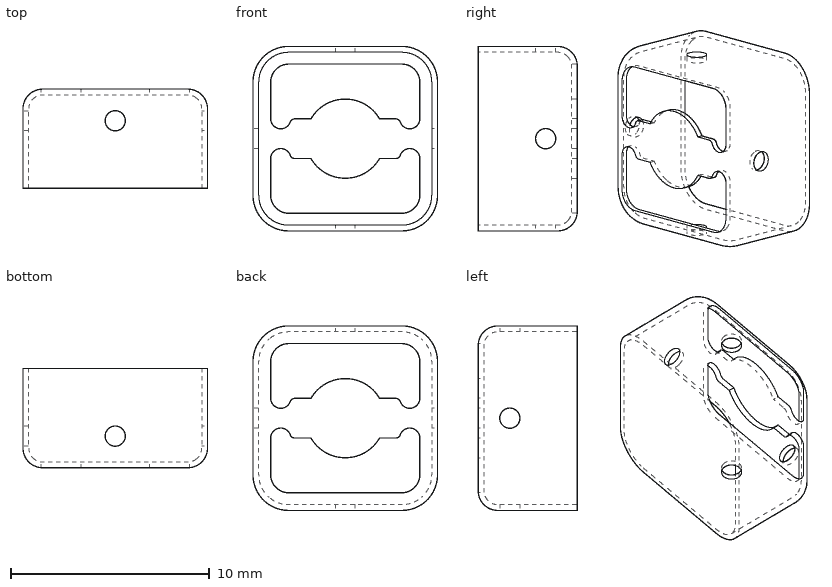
import cadquery as cq

side = 9.3
depth = 5.0
wall = 0.3
corner_radius = 1.8
end_radius = 1.0
window_inset = 0.9

side_hole_diameter = 1.0
side_hole_from_end = 1.6

disc_radius = 2.0
bridge_half_height = 1.0
notch_radius = 0.5
notch_from_center = 3.25
notch_corner_radius = 0.25


def rounded_block(inset, start_y, end_y):
    """Square block inset from the outer side, with rounded corners along Y."""
    width = side - 2 * inset
    block = cq.Workplane("XY").box(width, end_y - start_y, width)
    block = block.edges("|Y").fillet(corner_radius - inset)
    return block.translate((0, (start_y + end_y) / 2, 0))


def cylinder_along_y(radius, x, z):
    """Cylinder as deep as the rounded end, so it passes fully through the rim."""
    return cq.Workplane("XZ", origin=(x, depth - end_radius, z)).circle(radius).extrude(-end_radius)


def make_shell():
    """Hollow cap with concentric rounds around the closed end."""
    outer = rounded_block(0, 0, depth).faces(">Y").edges().fillet(end_radius)
    cavity = rounded_block(wall, 0, depth - wall).faces(">Y").edges().fillet(end_radius - wall)
    return outer.cut(cavity)


def make_bridge():
    """Central disc on a bar, with two rounded notches near each end of the bar."""
    bar_length = side - 2 * window_inset
    bridge = cq.Workplane("XY").box(bar_length, end_radius, 2 * bridge_half_height)
    bridge = bridge.translate((0, depth - end_radius / 2, 0))
    for x in (-notch_from_center, notch_from_center):
        for z in (-bridge_half_height, bridge_half_height):
            bridge = bridge.cut(cylinder_along_y(notch_radius, x, z))

    corner_x = notch_from_center - notch_radius
    margin = notch_radius / 2
    corner_zone = cq.selectors.BoxSelector(
        (-corner_x - margin, 0, -side),
        (corner_x + margin, depth, side),
    )
    bridge = bridge.edges("|Y").edges(corner_zone).fillet(notch_corner_radius)
    return bridge.union(cylinder_along_y(disc_radius, 0, 0))


def make_window():
    """Opening through the end wall, leaving the bridge in place."""
    window = rounded_block(window_inset, depth - end_radius, depth)
    return window.cut(make_bridge())


def make_side_holes():
    """Crossed round holes through the middle of all four side walls."""
    hole_y = depth - side_hole_from_end
    radius = side_hole_diameter / 2
    along_z = cq.Workplane("XY", origin=(0, hole_y, 0)).circle(radius).extrude(side / 2, both=True)
    along_x = cq.Workplane("YZ", origin=(0, hole_y, 0)).circle(radius).extrude(side / 2, both=True)
    return along_z.union(along_x)


result = make_shell().cut(make_window()).cut(make_side_holes())